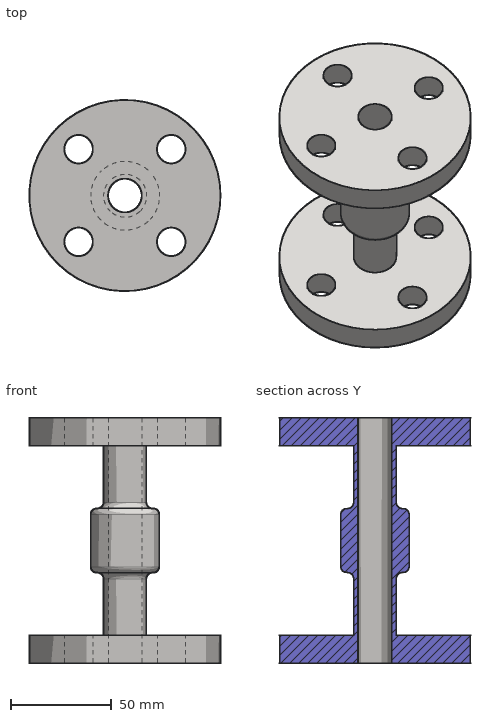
import cadquery as cq
import math

length = 122.0
bore_diameter = 16.6
pipe_diameter = 21.4

flange_diameter = 95.0
flange_thickness = 14.0
bolt_circle_diameter = 65.0
bolt_hole_diameter = 14.0
bolt_count = 4
first_bolt_angle = 45.0

body_diameter = 34.2
body_height = 32.0
body_edge_radius = 3.0
flare_radius = 3.0

pipe_radius = pipe_diameter / 2
body_radius = body_diameter / 2
half_body = body_height / 2
shoulder_radius = body_radius - body_edge_radius
flare_base_radius = pipe_radius + flare_radius
flare_end = half_body + flare_radius


def arc_offset(radius):
    """Distance along each axis from an arc's centre to its 45 degree midpoint."""
    return radius * math.sqrt(0.5)


def make_flange(bottom_z):
    return (
        cq.Workplane("XY")
        .workplane(offset=bottom_z)
        .circle(flange_diameter / 2)
        .extrude(flange_thickness)
        .faces(">Z")
        .workplane()
        .polarArray(bolt_circle_diameter / 2, first_bolt_angle, 360, bolt_count)
        .hole(bolt_hole_diameter)
    )


def make_body():
    """Revolve the body profile: rounded edges, narrow flat shoulders and concave flares."""
    flare_mid_r = flare_base_radius - arc_offset(flare_radius)
    flare_mid_z = flare_end - arc_offset(flare_radius)
    edge_mid_r = shoulder_radius + arc_offset(body_edge_radius)
    edge_mid_z = half_body - body_edge_radius + arc_offset(body_edge_radius)
    side_end = half_body - body_edge_radius

    profile = (
        cq.Workplane("XZ")
        .moveTo(0, -flare_end)
        .lineTo(pipe_radius, -flare_end)
        .threePointArc((flare_mid_r, -flare_mid_z), (flare_base_radius, -half_body))
        .lineTo(shoulder_radius, -half_body)
        .threePointArc((edge_mid_r, -edge_mid_z), (body_radius, -side_end))
        .lineTo(body_radius, side_end)
        .threePointArc((edge_mid_r, edge_mid_z), (shoulder_radius, half_body))
        .lineTo(flare_base_radius, half_body)
        .threePointArc((flare_mid_r, flare_mid_z), (pipe_radius, flare_end))
        .lineTo(0, flare_end)
        .close()
    )
    return profile.revolve(360, (0, 0, 0), (0, 1, 0))


pipe = cq.Workplane("XY").circle(pipe_radius).extrude(length / 2, both=True)
bore = cq.Workplane("XY").circle(bore_diameter / 2).extrude(length / 2, both=True)

result = pipe.union(make_body())
for bottom_z in (-length / 2, length / 2 - flange_thickness):
    result = result.union(make_flange(bottom_z))
result = result.cut(bore)